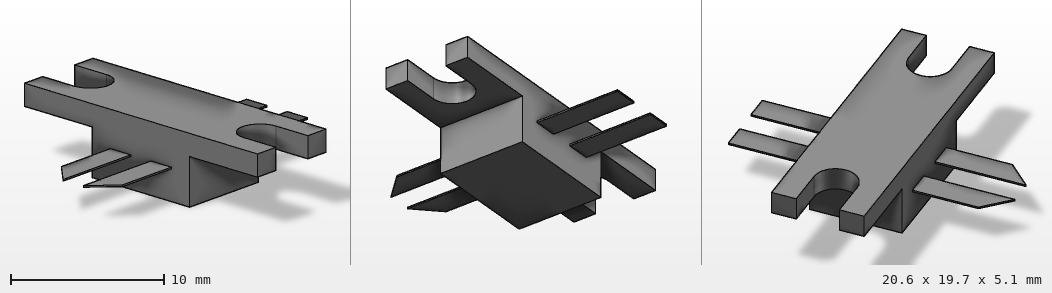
import cadquery as cq

flange_length = 20.6
flange_width = 6.63
flange_thickness = 1.6
slot_width = 3.1
slot_depth = 4.35

body_length = 8.61
body_width = flange_width
body_height = 3.5

lead_span = 19.7
lead_width = 1.8
lead_gap = lead_width
lead_thickness = 0.12
lead_depth = 1.11


def end_slot(side):
    """Open round-ended slot for one end of the flange; side is -1 or 1."""
    radius = slot_width / 2
    open_x = side * flange_length / 2
    closed_x = side * (flange_length / 2 - slot_depth)
    centre_x = closed_x + side * radius
    return (
        cq.Workplane("XY")
        .moveTo(open_x, radius)
        .lineTo(centre_x, radius)
        .threePointArc((closed_x, 0), (centre_x, -radius))
        .lineTo(open_x, -radius)
        .close()
        .extrude(flange_thickness)
    )


def lead(side):
    """Lead with a 45 degree tip at its -Y end, longest on the edge facing the other lead."""
    inner_x = side * lead_gap / 2
    outer_x = inner_x + side * lead_width
    end_y = lead_span / 2
    return (
        cq.Workplane("XY", origin=(0, 0, -lead_depth))
        .moveTo(inner_x, -end_y)
        .lineTo(inner_x, end_y)
        .lineTo(outer_x, end_y)
        .lineTo(outer_x, -end_y + lead_width)
        .close()
        .extrude(-lead_thickness)
    )


flange = cq.Workplane("XY").rect(flange_length, flange_width).extrude(flange_thickness)
body = cq.Workplane("XY").rect(body_length, body_width).extrude(-body_height)

result = flange.union(body)
for side in (-1, 1):
    result = result.cut(end_slot(side)).union(lead(side))